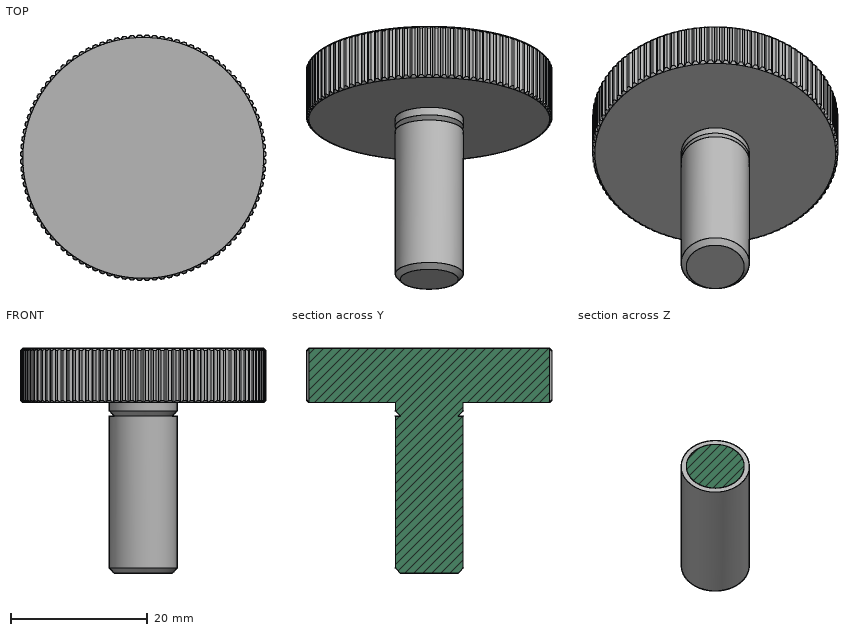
import cadquery as cq
import math


overall_width = 36.0
flute_count = 100
flute_width = 0.72
flute_depth = 0.35

head_radius = math.hypot(overall_width / 2, flute_width / 2)
head_height = 8.0
head_chamfer = 0.35

shank_radius = 5.0
shank_length = 25.0
tip_chamfer_width = 0.75
tip_chamfer_height = 0.8

groove_shoulder_depth = 1.98
groove_height = 0.8
groove_depth = 0.75


def point_on_circle(radius, angle):
    return (radius * math.cos(angle), radius * math.sin(angle))


def knurled_outline():
    """Circle with flutes centred on the X and Y axes and round crests between them."""
    half_flute = math.asin(flute_width / 2 / head_radius)
    pitch = 2 * math.pi / flute_count
    root_radius = overall_width / 2 - flute_depth

    outline = cq.Workplane("XY").moveTo(*point_on_circle(root_radius, 0))
    for index in range(flute_count):
        flute = index * pitch
        next_flute = flute + pitch
        crest_start = point_on_circle(head_radius, flute + half_flute)
        crest_middle = point_on_circle(head_radius, flute + pitch / 2)
        crest_end = point_on_circle(head_radius, next_flute - half_flute)
        outline = outline.lineTo(*crest_start).threePointArc(crest_middle, crest_end)
        if index < flute_count - 1:
            outline = outline.lineTo(*point_on_circle(root_radius, next_flute))
    return outline.close()


def make_head():
    """Knurled disc trimmed to a blank that is chamfered at both rims."""
    knurled_disc = knurled_outline().extrude(head_height)
    chamfered_blank = (
        cq.Workplane("XY")
        .circle(head_radius)
        .extrude(head_height)
        .edges()
        .chamfer(head_chamfer)
    )
    return knurled_disc.intersect(chamfered_blank)


def make_shank():
    """Turned shank with the relief groove and a chamfered tip."""
    shoulder_z = -groove_shoulder_depth
    profile = [
        (0, 0),
        (shank_radius, 0),
        (shank_radius, shoulder_z + groove_height),
        (shank_radius - groove_depth, shoulder_z),
        (shank_radius, shoulder_z),
        (shank_radius, tip_chamfer_height - shank_length),
        (shank_radius - tip_chamfer_width, -shank_length),
        (0, -shank_length),
    ]
    return cq.Workplane("XZ").polyline(profile).close().revolve(360, (0, 0), (0, 1))


result = make_head().union(make_shank()).solids()